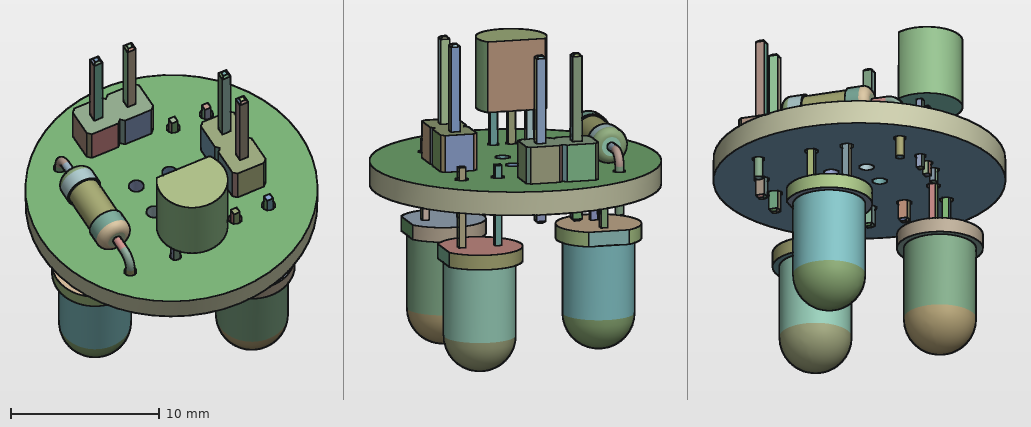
import cadquery as cq
import math

pitch = 2.53

board_diameter = 19.7
board_thickness = 1.62
header_hole_diameter = 1.0
led_hole_diameter = 0.9
resistor_hole_diameter = 0.8
transistor_hole_diameter = 0.75
cable_hole_diameter = 1.0
cable_hole_center = (0, -0.75)

header_places = [(0.26, 4.56, 0), (-6.1, -1.25, 90)]
header_chamfer = 0.26
pin_width = 0.63
pin_tip_chamfer = 0.15
pin_top = 8.55
pin_bottom = -3.0

resistor_y = -5.83
resistor_axis_z = 1.27
resistor_half_length = 3.15
resistor_cap_diameter = 2.5
resistor_core_diameter = 2.25
resistor_core_half_length = 1.57
resistor_end_fillet = 0.6
resistor_lead_diameter = 0.6
resistor_lead_x = 5.09
resistor_lead_bend = 0.92
resistor_lead_bottom = -3.0

led_places = [(0, resistor_y, 0), (-4.59, 3.82, -90), (4.37, 3.82, -90)]
led_body_diameter = 4.9
led_flange_diameter = 5.8
led_flange_thickness = 1.0
led_flange_flat = 2.53
led_flange_top = -4.7
led_bottom = pin_top - 21.85
led_lead_width = 0.45
led_lead_top = 0.83

transistor_center = (5.33, -1.25)
transistor_diameter = 4.8
transistor_flat = 1.29
transistor_bottom = 2.5
transistor_top = 7.35
transistor_lead_pitch = pitch / 2
transistor_lead_size = (0.4, 0.5)
transistor_lead_bottom = -2.5

pair_points = [(-pitch / 2, 0), (pitch / 2, 0)]
transistor_lead_points = [(0, i * transistor_lead_pitch) for i in (-1, 0, 1)]


def place(shape, location):
    """Turn a shape about Z and move it to its place on the board."""
    x, y, angle = location
    return shape.rotate((0, 0, 0), (0, 0, 1), angle).translate((x, y, 0))


def make_bars(points, x_size, y_size, bottom, top):
    """Rectangular bars standing at the given points."""
    return (
        cq.Workplane("XY", origin=(0, 0, bottom))
        .pushPoints(points)
        .rect(x_size, y_size)
        .extrude(top - bottom)
    )


def make_hole_cutters(points, diameter):
    """Cylinders through the board thickness at the given points."""
    return (
        cq.Workplane("XY", origin=(0, 0, -board_thickness))
        .pushPoints(points)
        .circle(diameter / 2)
        .extrude(board_thickness)
    )


def make_board():
    """Round board with a clearance hole for every lead and four cable holes."""
    board = make_hole_cutters([(0, 0)], board_diameter)

    for location in header_places:
        board = board.cut(place(make_hole_cutters(pair_points, header_hole_diameter), location))
    for location in led_places:
        board = board.cut(place(make_hole_cutters(pair_points, led_hole_diameter), location))

    resistor_points = [(side * resistor_lead_x, resistor_y) for side in (-1, 1)]
    board = board.cut(make_hole_cutters(resistor_points, resistor_hole_diameter))

    transistor_holes = make_hole_cutters(transistor_lead_points, transistor_hole_diameter)
    board = board.cut(place(transistor_holes, (*transistor_center, 0)))

    cable_points = [(x, y) for x in (-pitch / 2, pitch / 2) for y in (-pitch / 2, pitch / 2)]
    cable_holes = make_hole_cutters(cable_points, cable_hole_diameter)
    return board.cut(place(cable_holes, (*cable_hole_center, 0)))


def make_header(location):
    """Plastic strip of two chamfered square cells, with one tapered-end pin in each."""
    cell = make_bars([(0, 0)], pitch, pitch, 0, pitch).edges("|Z").chamfer(header_chamfer)
    left_cell, right_cell = [cell.translate((x, y, 0)) for x, y in pair_points]
    pins = make_bars(pair_points, pin_width, pin_width, pin_bottom, pin_top)
    pins = pins.faces("<Z or >Z").chamfer(pin_tip_chamfer)
    return place(left_cell.union(right_cell).union(pins), location)


def make_led(location):
    """Domed LED with a flange that is flattened on one side, and two square leads."""
    body_radius = led_body_diameter / 2
    flange_radius = led_flange_diameter / 2
    flange_bottom = led_flange_top - led_flange_thickness
    dome_start = led_bottom + body_radius
    dome_middle = (body_radius * math.sin(math.pi / 4), dome_start - body_radius * math.cos(math.pi / 4))

    body = (
        cq.Workplane("XZ")
        .moveTo(0, led_flange_top)
        .lineTo(flange_radius, led_flange_top)
        .lineTo(flange_radius, flange_bottom)
        .lineTo(body_radius, flange_bottom)
        .lineTo(body_radius, dome_start)
        .threePointArc(dome_middle, (0, led_bottom))
        .close()
        .revolve(360, (0, 0, 0), (0, 1, 0))
    )
    beyond_flat = cq.Workplane("XY", origin=(0, 0, flange_bottom)).box(
        led_flange_diameter, led_flange_diameter, led_flange_thickness, centered=(True, True, False)
    )
    body = body.cut(beyond_flat.translate((-led_flange_flat - flange_radius, 0, 0)))

    leads = make_bars(pair_points, led_lead_width, led_lead_width, led_flange_top, led_lead_top)
    return place(body.union(leads), location)


def make_resistor(leds):
    """Axial resistor on bent leads, with sockets under it for the LED leads that reach it."""
    cap_radius = resistor_cap_diameter / 2
    core_radius = resistor_core_diameter / 2
    core = cq.Workplane("YZ").circle(core_radius).extrude(resistor_core_half_length, both=True)
    cap = (
        cq.Workplane("YZ", origin=(resistor_core_half_length, 0, 0))
        .circle(cap_radius)
        .extrude(resistor_half_length - resistor_core_half_length)
        .faces(">X")
        .edges()
        .fillet(resistor_end_fillet)
    )
    body = core.union(cap).union(cap.mirror("YZ"))

    bend_start_x = resistor_lead_x - resistor_lead_bend
    bend_offset = resistor_lead_bend * math.sin(math.pi / 4)
    bend_middle = (bend_start_x + bend_offset, bend_offset - resistor_lead_bend)
    lead_path = (
        cq.Workplane("XZ")
        .moveTo(resistor_core_half_length, 0)
        .lineTo(bend_start_x, 0)
        .threePointArc(bend_middle, (resistor_lead_x, -resistor_lead_bend))
        .lineTo(resistor_lead_x, resistor_lead_bottom - resistor_axis_z)
    )
    lead = (
        cq.Workplane("YZ", origin=(resistor_core_half_length, 0, 0))
        .circle(resistor_lead_diameter / 2)
        .sweep(lead_path)
    )
    resistor = body.union(lead).union(lead.mirror("YZ"))
    resistor = resistor.translate((0, resistor_y, resistor_axis_z))

    for led in leds:
        resistor = resistor.cut(led)
    return resistor


def make_transistor():
    """D-shaped transistor raised above the board on three flat leads."""
    radius = transistor_diameter / 2
    half_chord = math.sqrt(radius**2 - transistor_flat**2)
    body = (
        cq.Workplane("XY", origin=(0, 0, transistor_bottom))
        .moveTo(-transistor_flat, -half_chord)
        .threePointArc((radius, 0), (-transistor_flat, half_chord))
        .close()
        .extrude(transistor_top - transistor_bottom)
    )
    leads = make_bars(
        transistor_lead_points, *transistor_lead_size, transistor_lead_bottom, transistor_bottom
    )
    return place(body.union(leads), (*transistor_center, 0))


board = make_board()
headers = [make_header(location) for location in header_places]
leds = [make_led(location) for location in led_places]
resistor = make_resistor(leds)
transistor = make_transistor()

bodies = [board, *headers, *leds, resistor, transistor]
result = cq.Compound.makeCompound([body.solids().val() for body in bodies])